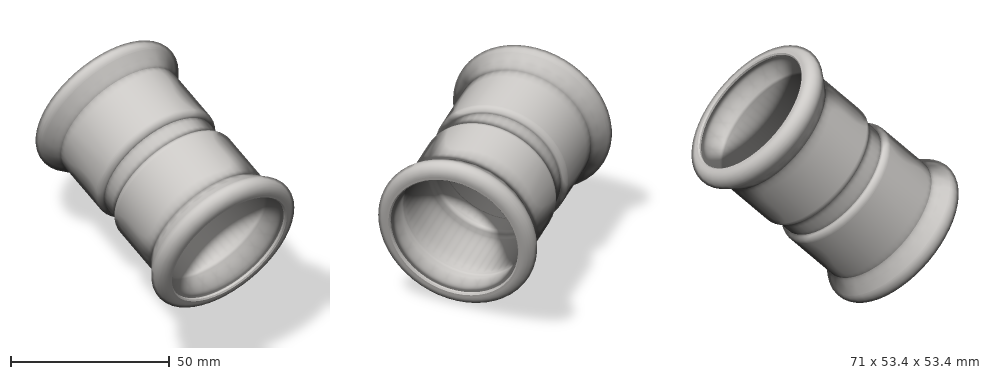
import cadquery as cq
import math

length = 71.0
bead_diameter = 53.4
body_diameter = 45.4
socket_diameter = 42.3
neck_diameter = 42.0
bore_diameter = 39.0
lip_diameter = 43.3
bead_radius = 3.55
lip_chamfer = 0.4
cone_length_from_end = 10.6
shoulder_from_middle = 5.5
shoulder_radius = 2.5
stop_radius = 1.5

half_length = length / 2
body_radius = body_diameter / 2
socket_radius = socket_diameter / 2
neck_radius = neck_diameter / 2
bore_radius = bore_diameter / 2
lip_radius = lip_diameter / 2
wall = body_radius - socket_radius

bead_center = (bead_radius - half_length, bead_diameter / 2 - bead_radius)
cone_corner = (cone_length_from_end - half_length, body_radius)
shoulder_center = (-shoulder_from_middle, body_radius - shoulder_radius)

corner_dx = cone_corner[0] - bead_center[0]
corner_dr = cone_corner[1] - bead_center[1]
corner_distance = math.hypot(corner_dx, corner_dr)
cone_normal = math.degrees(math.atan2(corner_dr, corner_dx) + math.acos(bead_radius / corner_distance))


def polar(center, radius, degrees):
    """Point at a radius and direction from a center."""
    angle = math.radians(degrees)
    return (center[0] + radius * math.cos(angle), center[1] + radius * math.sin(angle))


def outer_solid():
    """Half of the outside, filled to the axis: bead, cone, body, shoulder and neck."""
    shoulder_end = math.degrees(math.asin((neck_radius - shoulder_center[1]) / shoulder_radius))
    profile = (
        cq.Workplane("XY")
        .moveTo(-half_length, 0)
        .lineTo(-half_length, bead_center[1])
        .threePointArc(
            polar(bead_center, bead_radius, (180 + cone_normal) / 2),
            polar(bead_center, bead_radius, cone_normal),
        )
        .lineTo(*cone_corner)
        .lineTo(-shoulder_from_middle, body_radius)
        .threePointArc(
            polar(shoulder_center, shoulder_radius, (90 + shoulder_end) / 2),
            polar(shoulder_center, shoulder_radius, shoulder_end),
        )
        .lineTo(0, neck_radius)
        .lineTo(0, 0)
        .close()
    )
    return profile.revolve(360, (0, 0, 0), (1, 0, 0))


def inner_solid():
    """Half of the hollow: lip opening, seal groove, cone, socket, stop and bore."""
    groove_radius = bead_radius - wall
    cone_direction = cone_normal + 180

    stop_half_height = (socket_radius - bore_radius) / 2
    stop_normal = 90 - math.degrees(math.acos(1 - stop_half_height / stop_radius))
    crest_start = stop_normal + 180
    hollow_center = (-shoulder_from_middle, socket_radius - stop_radius)
    crest_center = polar(hollow_center, 2 * stop_radius, stop_normal)

    profile = (
        cq.Workplane("XY")
        .moveTo(-half_length, 0)
        .lineTo(-half_length, lip_radius + lip_chamfer)
        .lineTo(-half_length + lip_chamfer, lip_radius)
        .lineTo(-half_length + wall - lip_chamfer, lip_radius)
        .lineTo(-half_length + wall, lip_radius + lip_chamfer)
        .lineTo(-half_length + wall, bead_center[1])
        .threePointArc(
            polar(bead_center, groove_radius, (180 + cone_normal) / 2),
            polar(bead_center, groove_radius, cone_normal),
        )
        .lineTo(*polar(cone_corner, wall, cone_direction))
        .threePointArc(
            polar(cone_corner, wall, (cone_direction + 270) / 2),
            polar(cone_corner, wall, 270),
        )
        .lineTo(-shoulder_from_middle, socket_radius)
        .threePointArc(
            polar(hollow_center, stop_radius, (90 + stop_normal) / 2),
            polar(hollow_center, stop_radius, stop_normal),
        )
        .threePointArc(
            polar(crest_center, stop_radius, (270 + crest_start) / 2),
            polar(crest_center, stop_radius, 270),
        )
        .lineTo(0, bore_radius)
        .lineTo(0, 0)
        .close()
    )
    return profile.revolve(360, (0, 0, 0), (1, 0, 0))


half = outer_solid().cut(inner_solid())
result = half.union(half.mirror("YZ")).clean()